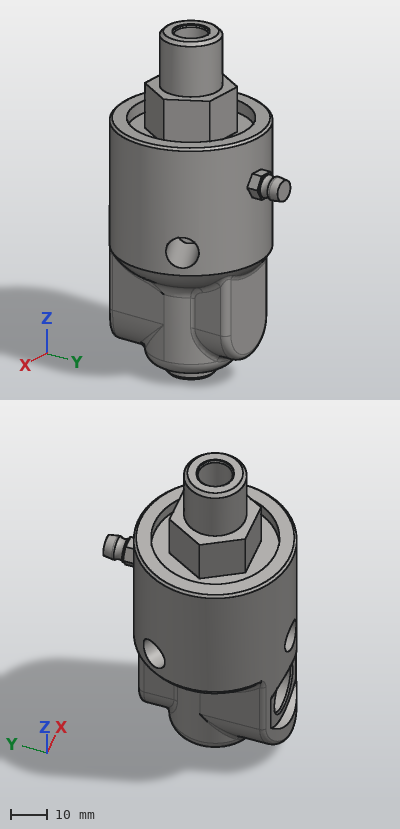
import cadquery as cq
import math

TOTAL_HEIGHT = 100.4

BODY_RADIUS = 44.5 / 2
BODY_TOP = 74.9
BODY_BOTTOM = 37.5
BODY_CHAMFER = 0.7
RECESS_DIAMETER = 35.0
RECESS_DEPTH = 3.6

STEM_RADIUS = 12.7
STEM_BOTTOM = 3.3
STEM_FILLET = 4.0
SHOULDER_BOTTOM = 26.9
SHOULDER_BEND_RADIUS = 15.3
SHOULDER_BEND_HEIGHT = 31.0

PLUG_DIAMETER = 13.8
PLUG_CHAMFER = 0.9

HEX_FLATS = 22.0
HEX_TOP = 84.5
SPIGOT_DIAMETER = 17.2
SPIGOT_CHAMFER = 1.0
BORE_DIAMETER = 9.4
BORE_CHAMFER = 0.4

ARM_AXIS_HEIGHT = 18.1
BACK_ARM_RADIUS = 9.9
BACK_ARM_REACH = 19.2
ARM_FILLET = 2.0
FRONT_RIM_FILLET = 1.8
RIM_REGION_HALF_WIDTH = 13.1
PICK_MARGIN = 0.1

PORT_HEIGHT = 22.7
PORT_DIAMETER = 13.8
PORT_CHAMFER = 0.5
PORT_END = 2.2
PORT_TIP_ANGLE = 118.0
SEAT_FACE = 19.8
SEAT_HALF_HEIGHT = 9.8
SEAT_ARC_RADIUS = 14.5
SEAT_DRAFT = 20.0

RADIAL_HOLE_DIAMETER = 9.0
RADIAL_HOLE_HEIGHT = 44.2
RADIAL_HOLE_ANGLES = (30.0, 150.0, 270.0)

NIPPLE_HEIGHT = 60.9
NIPPLE_HEX_FLATS = 7.0
NIPPLE_HEX_END = 25.3
NIPPLE_COLLAR_END = 25.8
NIPPLE_HEAD_START = 28.2
NIPPLE_HEAD_TAPER_START = 28.8
NIPPLE_TIP = 53.6 - BODY_RADIUS
NIPPLE_RADIUS = 6.7 / 2
NIPPLE_NECK_RADIUS = 2.9
NIPPLE_TIP_RADIUS = 3.0


def cylinder(diameter, bottom, top):
    """Round bar on the main axis between two heights."""
    return cq.Workplane("XY").workplane(offset=bottom).circle(diameter / 2).extrude(top - bottom)


def hexagon_corners(flats):
    """Diameter across the corners of a hexagon, from its width across flats."""
    return flats / math.cos(math.pi / 6)


def body_and_stem():
    """Turned profile: body, S-shaped shoulder and stem."""
    return (
        cq.Workplane("XZ")
        .moveTo(0, STEM_BOTTOM)
        .lineTo(STEM_RADIUS - STEM_FILLET, STEM_BOTTOM)
        .tangentArcPoint((STEM_RADIUS, STEM_BOTTOM + STEM_FILLET), relative=False)
        .lineTo(STEM_RADIUS, SHOULDER_BOTTOM)
        .tangentArcPoint((SHOULDER_BEND_RADIUS, SHOULDER_BEND_HEIGHT), relative=False)
        .tangentArcPoint((BODY_RADIUS, BODY_BOTTOM), relative=False)
        .lineTo(BODY_RADIUS, BODY_TOP - BODY_CHAMFER)
        .lineTo(BODY_RADIUS - BODY_CHAMFER, BODY_TOP)
        .lineTo(0, BODY_TOP)
        .close()
        .revolve(360, (0, 0, 0), (0, -1, 0))
    )


def arm_blank(half_width, top, reach):
    """U-shaped bar from the main axis out to Y = reach, flat-sided above its half-round underside."""
    return (
        cq.Workplane("XZ")
        .moveTo(-half_width, top)
        .lineTo(-half_width, ARM_AXIS_HEIGHT)
        .threePointArc((0, ARM_AXIS_HEIGHT - half_width), (half_width, ARM_AXIS_HEIGHT))
        .lineTo(half_width, top)
        .close()
        .extrude(-reach)
    )


def front_arm():
    """Arm toward -Y whose outer face continues the body cylinder."""
    blank = arm_blank(STEM_RADIUS, BODY_BOTTOM, -1.5 * BODY_RADIUS)
    return blank.intersect(cylinder(2 * BODY_RADIUS, 0, BODY_TOP))


def back_arm():
    """Arm toward +Y with a flat, rounded-over end."""
    arm = arm_blank(BACK_ARM_RADIUS, BODY_BOTTOM, BACK_ARM_REACH)
    return arm.faces(">Y").edges("not >Z").fillet(ARM_FILLET)


def blend_inner_corners(solid):
    """Round the corners where the arms meet the shoulder and the stem; the fillets follow tangent edges."""
    under_front_arm = cq.selectors.BoxSelector(
        (-STEM_RADIUS, -STEM_RADIUS, 0),
        (STEM_RADIUS, -STEM_RADIUS / 2, STEM_BOTTOM + STEM_FILLET + PICK_MARGIN),
        True,
    )
    solid = solid.edges(under_front_arm).fillet(ARM_FILLET)
    for half_width, y_start, y_end in ((STEM_RADIUS, -BODY_RADIUS, 0), (BACK_ARM_RADIUS, 0, BACK_ARM_REACH)):
        left, right = [
            cq.selectors.BoxSelector(
                (x - PICK_MARGIN, y_start - PICK_MARGIN, SHOULDER_BOTTOM - PICK_MARGIN),
                (x + PICK_MARGIN, y_end + PICK_MARGIN, BODY_BOTTOM + PICK_MARGIN),
                True,
            )
            for x in (-half_width, half_width)
        ]
        solid = solid.edges(left + right).fillet(ARM_FILLET)
    return solid


def round_front_rim(solid):
    """Round the outer rim of the front arm only, leaving the lower edge of the body sharp beside it."""
    rim_start = math.sqrt(BODY_RADIUS**2 - STEM_RADIUS**2)
    rim = cq.selectors.BoxSelector(
        (-BODY_RADIUS, -BODY_RADIUS - 1, 0), (BODY_RADIUS, -rim_start + 1, BODY_BOTTOM - PICK_MARGIN)
    )
    rounded = solid.edges(rim).fillet(FRONT_RIM_FILLET)
    arm_region = (
        cq.Workplane("XY")
        .center(0, -BODY_RADIUS)
        .rect(2 * RIM_REGION_HALF_WIDTH, 2 * (BODY_RADIUS - STEM_RADIUS))
        .extrude((BODY_BOTTOM + BODY_TOP) / 2)
    )
    return solid.cut(arm_region).union(rounded.intersect(arm_region))


def rotor():
    """Hexagon and threaded end above the recess."""
    hexagon = (
        cq.Workplane("XY")
        .workplane(offset=BODY_TOP - RECESS_DEPTH)
        .polygon(6, hexagon_corners(HEX_FLATS))
        .extrude(HEX_TOP - BODY_TOP + RECESS_DEPTH)
    )
    spigot = cylinder(SPIGOT_DIAMETER, HEX_TOP, TOTAL_HEIGHT)
    return hexagon.union(spigot.faces(">Z").chamfer(SPIGOT_CHAMFER))


def nipple():
    """Grease nipple: hexagon, collar, necked groove and tapered head along +Y."""
    hexagon = (
        cq.Workplane("XZ", origin=(0, 0, NIPPLE_HEIGHT))
        .workplane(offset=-NIPPLE_HEX_END)
        .polygon(6, hexagon_corners(NIPPLE_HEX_FLATS))
        .extrude(NIPPLE_HEX_END - RECESS_DIAMETER / 2)
    )
    neck_middle = (NIPPLE_COLLAR_END + NIPPLE_HEAD_START) / 2
    turned = (
        cq.Workplane("XY", origin=(0, 0, NIPPLE_HEIGHT))
        .moveTo(0, NIPPLE_HEX_END)
        .lineTo(NIPPLE_RADIUS, NIPPLE_HEX_END)
        .lineTo(NIPPLE_RADIUS, NIPPLE_COLLAR_END)
        .threePointArc((NIPPLE_NECK_RADIUS, neck_middle), (NIPPLE_RADIUS, NIPPLE_HEAD_START))
        .lineTo(NIPPLE_RADIUS, NIPPLE_HEAD_TAPER_START)
        .lineTo(NIPPLE_TIP_RADIUS, NIPPLE_TIP)
        .lineTo(0, NIPPLE_TIP)
        .close()
        .revolve(360, (0, 0, 0), (0, 1, 0))
    )
    return hexagon.union(turned)


def port_seat():
    """Drafted lens-shaped cutter, the overlap of two cones, that leaves a flat seat at Y = -SEAT_FACE."""
    depth = BODY_RADIUS - SEAT_FACE + 1
    outer_radius = SEAT_ARC_RADIUS + depth * math.tan(math.radians(SEAT_DRAFT))
    centre_offset = SEAT_ARC_RADIUS - SEAT_HALF_HEIGHT
    cones = [
        cq.Workplane(
            cq.Solid.makeCone(
                SEAT_ARC_RADIUS,
                outer_radius,
                depth,
                cq.Vector(0, -SEAT_FACE, PORT_HEIGHT + side * centre_offset),
                cq.Vector(0, -1, 0),
            )
        )
        for side in (-1, 1)
    ]
    return cones[0].intersect(cones[1])


def port():
    """Drilled port along Y with a chamfered mouth and a conical end."""
    radius = PORT_DIAMETER / 2
    tip = PORT_END + radius / math.tan(math.radians(PORT_TIP_ANGLE / 2))
    return (
        cq.Workplane("XY", origin=(0, 0, PORT_HEIGHT))
        .moveTo(0, -SEAT_FACE)
        .lineTo(radius + PORT_CHAMFER, -SEAT_FACE)
        .lineTo(radius, -SEAT_FACE + PORT_CHAMFER)
        .lineTo(radius, PORT_END)
        .lineTo(0, tip)
        .close()
        .revolve(360, (0, 0, 0), (0, 1, 0))
    )


def radial_hole(angle):
    """Hole from the outside of the body to the main axis, at an angle from +X."""
    direction = cq.Vector(math.cos(math.radians(angle)), math.sin(math.radians(angle)), 0)
    return cq.Solid.makeCylinder(
        RADIAL_HOLE_DIAMETER / 2, BODY_RADIUS + 1, cq.Vector(0, 0, RADIAL_HOLE_HEIGHT), direction
    )


def bore():
    """Central bore from the rotor end down to the plug, with a chamfered mouth."""
    straight = cylinder(BORE_DIAMETER, STEM_BOTTOM, TOTAL_HEIGHT)
    mouth = cylinder(BORE_DIAMETER + 2 * BORE_CHAMFER, TOTAL_HEIGHT - 2 * BORE_CHAMFER, TOTAL_HEIGHT)
    return straight.union(mouth.faces("<Z").chamfer(BORE_CHAMFER))


housing = body_and_stem().union(front_arm()).union(back_arm())
housing = round_front_rim(blend_inner_corners(housing))
housing = housing.cut(cylinder(RECESS_DIAMETER, BODY_TOP - RECESS_DEPTH, BODY_TOP))

plug = cylinder(PLUG_DIAMETER, 0, STEM_BOTTOM).faces("<Z").chamfer(PLUG_CHAMFER)
result = housing.union(plug).union(rotor()).union(nipple())
result = result.cut(port_seat()).cut(port()).cut(bore())
for angle in RADIAL_HOLE_ANGLES:
    result = result.cut(cq.Workplane(radial_hole(angle)))